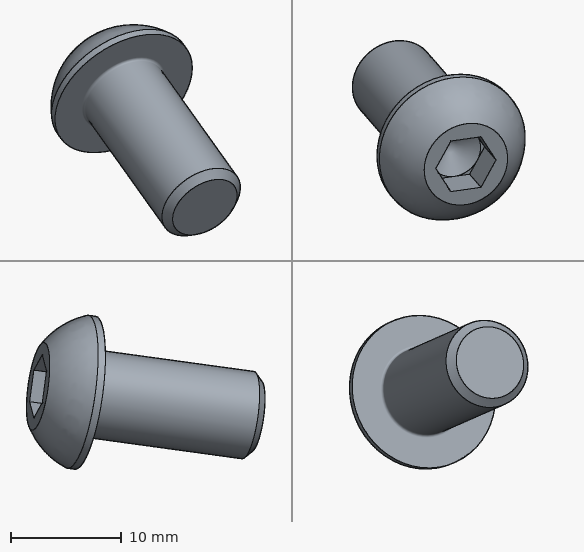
import cadquery as cq
import math

total_length = 20.4
head_diameter = 14.0
head_height = 4.4
rim_thickness = 0.7
face_diameter = 8.0
dome_radius = 7.55
shank_diameter = 8.0
neck_fillet = 0.25
tip_chamfer = 0.71
socket_width = 5.0
socket_depth = 3.12
drill_point_angle = 120.0

head_radius = head_diameter / 2
face_radius = face_diameter / 2
shank_radius = shank_diameter / 2
dome_height = head_height - rim_thickness


def revolve_about_x(profile):
    return profile.close().revolve(360, (0, 0, 0), (1, 0, 0))


def make_body():
    rise = head_radius - face_radius
    chord = math.hypot(dome_height, rise)
    sagitta = dome_radius - math.sqrt(dome_radius**2 - (chord / 2) ** 2)
    dome_middle = (
        dome_height / 2 - sagitta * rise / chord,
        (face_radius + head_radius) / 2 + sagitta * dome_height / chord,
    )
    fillet_reach = neck_fillet * (1 - math.sqrt(0.5))
    neck_middle = (head_height + fillet_reach, shank_radius + fillet_reach)

    profile = (
        cq.Workplane("XY")
        .lineTo(0, face_radius)
        .threePointArc(dome_middle, (dome_height, head_radius))
        .lineTo(head_height, head_radius)
        .lineTo(head_height, shank_radius + neck_fillet)
        .threePointArc(neck_middle, (head_height + neck_fillet, shank_radius))
        .lineTo(total_length - tip_chamfer, shank_radius)
        .lineTo(total_length, shank_radius - tip_chamfer)
        .lineTo(total_length, 0)
    )
    return revolve_about_x(profile)


def make_socket():
    across_corners = socket_width / math.cos(math.radians(30))
    hexagon = cq.Workplane("YZ").polygon(6, across_corners).extrude(socket_depth)

    cone_radius = socket_width / 2
    cone_depth = cone_radius / math.tan(math.radians(drill_point_angle / 2))
    cone_profile = (
        cq.Workplane("XY")
        .moveTo(socket_depth, 0)
        .lineTo(socket_depth, cone_radius)
        .lineTo(socket_depth + cone_depth, 0)
    )
    return hexagon.union(revolve_about_x(cone_profile))


result = make_body().cut(make_socket())